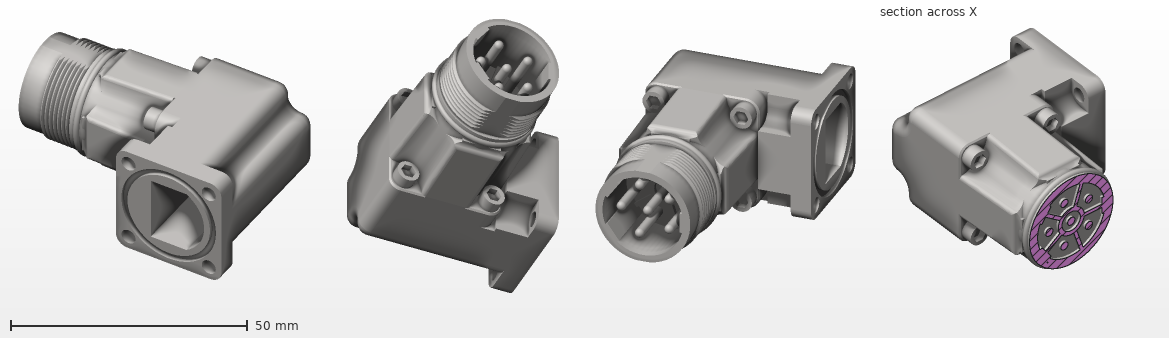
import cadquery as cq
import math


overall_length = 58.9
overall_width = 38.4
housing_size = 26.0
half_size = housing_size / 2
flange_face_y = half_size - overall_width
flange_thickness = 4.65
flange_back_y = flange_face_y + flange_thickness
flange_axis_x = overall_length - half_size
corner_radius = 2.7
bolt_offset = 9.9
quadrants = [(1, 1), (1, -1), (-1, 1), (-1, -1)]

barrel_radius = 10.75
flat_half_height = 10.63
thread_start_x = 5.35
thread_end_x = 12.9
thread_pitch = 1.03
thread_count = 7
thread_root_radius = 10.85
thread_crest_radius = 11.4
thread_crest_width = 0.2

body_radius = 11.5
seal_x = 14.65
seal_bulge = 0.75
seal_radius = 12.1

pad_count = 4
pad_base_x = 16.0
pad_start_x = 16.55
pad_shoulder_x = 18.4
pad_start_height = 11.4
pad_shoulder_height = 12.4
pad_half_width = 5.6
pad_edge_radius = 0.95
pad_foot_half_width = 7.4
pad_start_half_width = 4.4

bore_radius = 9.15
key_distance = 8.3
key_half_width = 2.25
insert_face_x = 13.0
sector_depth = 1.0
sector_count = 5
sector_angle = 360 / sector_count
rib_width = 1.0
hub_radius = 3.6
hub_recess_radius = 2.45
pin_circle_radius = 6.0
pin_radius = 1.05
pin_tip_x = 2.0

housing_face_x = 34.7
housing_face_chamfer = 0.35
boss_end_x = 39.5
boss_corner_radius = 3.2
gap_width = 0.4
neck_half_height = 6.9
near_clearance_radius = 3.0
near_clearance_wall = 7.4
far_clearance_wall = 7.5
far_edge_radius = 2.85

flange_hole_diameter = 3.45
groove_outer_radius = 11.67
groove_inner_radius = 10.2
groove_depth = 1.0
window_radius = 8.75
window_half_height = 7.58
window_flat_offset = 4.42
window_end_y = 0.0

head_radius = 2.5
head_length = 2.9
socket_width = 2.95
socket_depth = 1.6


def box(x0, x1, y0, y1, z0, z1):
    return cq.Workplane("XY").box(x1 - x0, y1 - y0, z1 - z0, centered=False).translate((x0, y0, z0))


def x_cylinder(radius, x0, x1, y=0.0, z=0.0):
    return cq.Workplane("YZ", origin=(x0, y, z)).circle(radius).extrude(x1 - x0)


def turn_about_x(shape, angle):
    return shape.rotate((0, 0, 0), (1, 0, 0), angle)


def make_barrel():
    profile = (
        cq.Workplane("XY")
        .moveTo(0, 0)
        .lineTo(0, barrel_radius)
        .lineTo(thread_start_x, barrel_radius)
        .lineTo(thread_start_x, thread_root_radius)
    )
    for i in range(thread_count):
        root_x = thread_start_x + i * thread_pitch
        crest_x = root_x + (thread_pitch - thread_crest_width) / 2
        profile = (
            profile
            .lineTo(crest_x, thread_crest_radius)
            .lineTo(crest_x + thread_crest_width, thread_crest_radius)
            .lineTo(root_x + thread_pitch, thread_root_radius)
        )
    profile = profile.lineTo(thread_end_x, thread_root_radius).lineTo(thread_end_x, 0).close()
    flats = box(0, thread_end_x, -half_size, half_size, -flat_half_height, flat_half_height)
    return profile.revolve(360, (0, 0, 0), (1, 0, 0)).intersect(flats)


def make_plug_body():
    return (
        cq.Workplane("XY")
        .moveTo(thread_end_x, 0)
        .lineTo(thread_end_x, body_radius)
        .lineTo(seal_x - seal_bulge, body_radius)
        .threePointArc((seal_x, seal_radius), (seal_x + seal_bulge, body_radius))
        .lineTo(housing_face_x, body_radius)
        .lineTo(housing_face_x, 0)
        .close()
        .revolve(360, (0, 0, 0), (1, 0, 0))
    )


def make_pad():
    """Pad on the +Z side: flared cross-section, S-shaped front and narrowed front end."""
    foot_angle = math.acos(pad_foot_half_width / body_radius)
    foot_height = body_radius * math.sin(foot_angle)
    flank_radius = (pad_foot_half_width - pad_half_width) / (1 - math.cos(foot_angle))
    flank_center_y = pad_half_width + flank_radius
    flank_center_z = (body_radius + flank_radius) * math.sin(foot_angle)
    flank_middle_y = flank_center_y - flank_radius * math.cos(foot_angle / 2)
    flank_middle_z = flank_center_z - flank_radius * math.sin(foot_angle / 2)
    flank_end_y = flank_center_y - math.sqrt(flank_radius**2 - (half_size - flank_center_z) ** 2)
    section = (
        cq.Workplane("YZ", origin=(pad_base_x, 0, 0))
        .moveTo(0, 0)
        .lineTo(-pad_foot_half_width, foot_height)
        .threePointArc((-flank_middle_y, flank_middle_z), (-flank_end_y, half_size))
        .lineTo(flank_end_y, half_size)
        .threePointArc((flank_middle_y, flank_middle_z), (pad_foot_half_width, foot_height))
        .close()
        .extrude(housing_face_x - pad_base_x)
    )
    top_slope = (half_size - pad_shoulder_height) / (housing_face_x - pad_shoulder_x)
    roof = (
        cq.Workplane("XZ", origin=(0, half_size, 0))
        .polyline([
            (pad_base_x, 0),
            (pad_base_x, half_size - top_slope * (housing_face_x - pad_base_x)),
            (housing_face_x, half_size),
            (housing_face_x, 0),
        ])
        .close()
        .extrude(housing_size)
    )
    front_middle = (
        (pad_start_x + pad_shoulder_x) / 2,
        (pad_start_height + pad_shoulder_height) / 2,
    )
    front = (
        cq.Workplane("XZ", origin=(0, half_size, 0))
        .moveTo(pad_base_x, 0)
        .lineTo(pad_base_x, pad_start_height)
        .lineTo(pad_start_x, pad_start_height)
        .tangentArcPoint(front_middle, relative=False)
        .tangentArcPoint((pad_shoulder_x, pad_shoulder_height), relative=False)
        .lineTo(pad_shoulder_x, housing_size)
        .lineTo(housing_face_x, housing_size)
        .lineTo(housing_face_x, 0)
        .close()
        .extrude(housing_size)
    )
    plan = (
        cq.Workplane("XY")
        .polyline([
            (pad_base_x, -pad_start_half_width),
            (pad_start_x, -pad_start_half_width),
            (pad_shoulder_x, -pad_foot_half_width),
            (housing_face_x, -pad_foot_half_width),
            (housing_face_x, pad_foot_half_width),
            (pad_shoulder_x, pad_foot_half_width),
            (pad_start_x, pad_start_half_width),
            (pad_base_x, pad_start_half_width),
        ])
        .close()
        .extrude(half_size)
    )
    pad = section.intersect(roof)
    pad = pad.faces(">Z").edges("not |Y").fillet(pad_edge_radius)
    flat_half_width = pad_half_width - pad_edge_radius
    seat = box(
        housing_face_x, housing_face_x + housing_face_chamfer,
        -flat_half_width, flat_half_width,
        0, half_size,
    )
    return pad.intersect(front).intersect(plan).union(seat)


def make_housing():
    """Block along Y whose far edges are rounded, then stepped down to clear the flange holes.

    All edges of the back face are rounded, except the one towards the plug.
    """
    wall_x = flange_axis_x + far_clearance_wall
    turn = math.sqrt(0.5)
    step_end_x = overall_length - far_edge_radius
    far_clearance_radius = step_end_x - wall_x
    rounding_inset = far_edge_radius * (1 - turn)
    clearance_inset = far_clearance_radius * (1 - turn)
    half_block = (
        cq.Workplane("XZ", origin=(0, half_size, 0))
        .moveTo(housing_face_x, 0)
        .lineTo(housing_face_x, half_size)
        .lineTo(wall_x - far_edge_radius, half_size)
        .threePointArc(
            (wall_x - rounding_inset, half_size - rounding_inset),
            (wall_x, half_size - far_edge_radius),
        )
        .lineTo(wall_x, neck_half_height + far_clearance_radius)
        .threePointArc(
            (wall_x + clearance_inset, neck_half_height + clearance_inset),
            (step_end_x, neck_half_height),
        )
        .threePointArc(
            (overall_length - rounding_inset, neck_half_height - rounding_inset),
            (overall_length, neck_half_height - far_edge_radius),
        )
        .lineTo(overall_length, 0)
        .close()
        .extrude(half_size - flange_back_y)
    )
    block = half_block.union(half_block.mirror("XY"))
    return block.faces(">Y").edges("not(<X)").fillet(corner_radius)


def cut_boss_side(housing):
    """Trim the plug side of the housing to the four screw bosses."""
    remove = box(housing_face_x, boss_end_x, flange_back_y, half_size, -half_size, half_size)
    keep = box(housing_face_x, boss_end_x, -half_size, half_size, -half_size, half_size)
    keep = keep.edges("<Y and |X").fillet(boss_corner_radius)
    keep = keep.edges(">Y and |X").fillet(corner_radius)
    keep = keep.faces("<X").chamfer(housing_face_chamfer)
    return housing.cut(remove.cut(keep))


def make_neck():
    """Web between the bosses and the flange, with clearances around the near flange holes."""
    near_x = overall_length - housing_size
    wall_x = flange_axis_x - near_clearance_wall
    neck = box(near_x, boss_end_x, flange_back_y, -half_size - gap_width, -half_size, half_size)
    clearance = box(near_x, wall_x, flange_back_y, -half_size, neck_half_height, housing_size)
    clearance = clearance.edges(">X and <Z").fillet(near_clearance_radius)
    return neck.cut(clearance).cut(clearance.mirror("XY"))


def make_flange():
    flange = box(
        overall_length - housing_size, overall_length,
        flange_face_y, flange_back_y,
        -half_size, half_size,
    )
    return flange.edges("|Y").fillet(corner_radius)


def cut_flange_features(part):
    face = cq.Workplane("XZ", origin=(flange_axis_x, flange_face_y, 0))
    hole_points = [(bolt_offset * sx, bolt_offset * sz) for sx, sz in quadrants]
    holes = face.pushPoints(hole_points).circle(flange_hole_diameter / 2).extrude(-flange_thickness)
    groove = face.circle(groove_outer_radius).circle(groove_inner_radius).extrude(-groove_depth)
    window_depth = window_end_y - flange_face_y
    window = face.circle(window_radius).extrude(-window_depth).intersect(
        box(
            flange_axis_x - window_flat_offset, overall_length,
            flange_face_y, window_end_y,
            -window_half_height, window_half_height,
        )
    )
    return part.cut(holes).cut(groove).cut(window)


def make_keyed_bore(radius, x0, x1):
    """Bore volume with three flat keys left standing on its wall."""
    bore = x_cylinder(radius, x0, x1)
    key = box(x0, x1, key_distance, half_size, -key_half_width, key_half_width)
    for angle in (sector_angle / 2, 180, -sector_angle / 2):
        bore = bore.cut(turn_about_x(key, angle))
    return bore


def make_insert_recesses():
    """Pin chambers between the radial ribs, and the ring recess around the centre pin."""
    floor_x = insert_face_x + sector_depth
    recesses = make_keyed_bore(bore_radius, insert_face_x, floor_x)
    recesses = recesses.cut(x_cylinder(hub_radius, insert_face_x, floor_x))
    rib = box(insert_face_x, floor_x, 0, half_size, -rib_width / 2, rib_width / 2)
    for i in range(sector_count):
        recesses = recesses.cut(turn_about_x(rib, (i + 0.5) * sector_angle))
    return recesses.union(x_cylinder(hub_recess_radius, insert_face_x, floor_x))


def make_pin(y, z):
    pin = x_cylinder(pin_radius, pin_tip_x + pin_radius, insert_face_x + 2 * sector_depth, y, z)
    return pin.union(cq.Workplane("XY").sphere(pin_radius).translate((pin_tip_x + pin_radius, y, z)))


def make_screw_head(y, z):
    top_x = housing_face_x - head_length
    head = x_cylinder(head_radius, top_x, housing_face_x + housing_face_chamfer, y, z)
    socket = (
        cq.Workplane("YZ", origin=(top_x, y, z))
        .polygon(6, socket_width / math.cos(math.pi / 6))
        .extrude(socket_depth)
    )
    return head.cut(socket)


def make_part():
    part = cut_boss_side(make_housing())
    part = part.union(make_neck()).union(make_flange())
    part = part.union(make_plug_body()).union(make_barrel())
    for i in range(pad_count):
        part = part.union(turn_about_x(make_pad(), i * 360 / pad_count))
    part = cut_flange_features(part)
    part = part.cut(make_keyed_bore(bore_radius, 0, insert_face_x)).cut(make_insert_recesses())
    part = part.union(make_pin(0, 0))
    for i in range(sector_count):
        angle = math.radians(i * sector_angle)
        part = part.union(make_pin(pin_circle_radius * math.cos(angle), pin_circle_radius * math.sin(angle)))
    for sy, sz in quadrants:
        part = part.union(make_screw_head(bolt_offset * sy, bolt_offset * sz))
    return part


result = make_part()